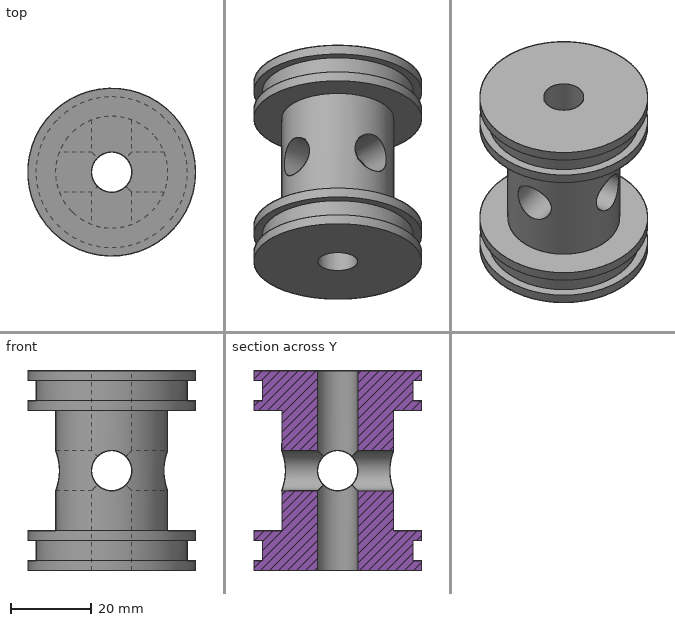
import cadquery as cq

height = 50.0
flange_diameter = 42.0
groove_diameter = 37.8
stem_diameter = 28.02

flange_thickness = 2.5
groove_width = 5.0
head_thickness = 2 * flange_thickness + groove_width

bore_diameter = 10.0


def cylinder(diameter, length, plane="XY"):
    """Cylinder centred on the origin, along the normal of the plane."""
    return cq.Workplane(plane).cylinder(length, diameter / 2)


def make_head():
    """Grooved end head, centred on the origin."""
    head = cylinder(groove_diameter, head_thickness)
    flange = cylinder(flange_diameter, flange_thickness)
    flange_offset = (head_thickness - flange_thickness) / 2
    for side in (-1, 1):
        head = head.union(flange.translate((0, 0, side * flange_offset)))
    return head


def make_spool():
    """Stem with a grooved head at each end."""
    spool = cylinder(stem_diameter, height)
    head = make_head()
    head_offset = (height - head_thickness) / 2
    for side in (-1, 1):
        spool = spool.union(head.translate((0, 0, side * head_offset)))
    return spool


def cut_bores(body):
    """Drill the axial bore and the two cross bores right through."""
    bores = (("XY", height), ("XZ", stem_diameter), ("YZ", stem_diameter))
    for plane, length in bores:
        body = body.cut(cylinder(bore_diameter, length, plane))
    return body


result = cut_bores(make_spool())